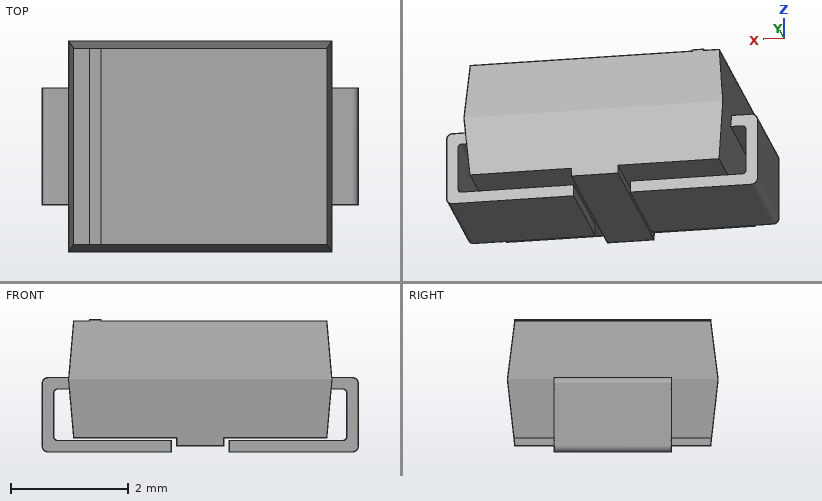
import cadquery as cq

body_length = 4.5
body_width = 3.6
face_length = 4.325
top_width = 3.35
body_bottom = 0.245
half_height = 1.0
parting_z = body_bottom + half_height
body_top = parting_z + half_height

pad_length = 0.81
pad_bottom = 0.11
pad_bottom_width = 3.35

lower_taper = (body_width - pad_bottom_width) / (parting_z - pad_bottom)
bottom_width = body_width - lower_taper * half_height

band_length = 0.2
band_center_x = -1.795
band_height = 0.02

overall_length = 5.4
lead_width = 2.0
lead_thickness = 0.2
lead_top = 1.275
foot_length = 2.21
outer_bend_radius = 0.1
inner_bend_radius = 0.065
lead_embedment = 0.27


def body_half(direction, face_width):
    """Frustum from the parting plane to a flat face; direction is +1 up or -1 down."""
    return (
        cq.Workplane("XY")
        .workplane(offset=parting_z)
        .rect(body_length, body_width)
        .workplane(offset=direction * half_height)
        .rect(face_length, face_width)
        .loft(ruled=True)
    )


def standoff_pad():
    """Pad below the body whose ends continue the taper of the body sides."""
    return (
        cq.Workplane("XY")
        .workplane(offset=pad_bottom)
        .rect(pad_length, pad_bottom_width)
        .workplane(offset=body_bottom - pad_bottom)
        .rect(pad_length, bottom_width)
        .loft(ruled=True)
    )


def polarity_band():
    """Thin strip across the full width of the top face."""
    return (
        cq.Workplane("XY")
        .workplane(offset=body_top)
        .center(band_center_x, 0)
        .rect(band_length, top_width)
        .extrude(band_height)
    )


def bends_at(x):
    """Selector for the bend edges of a lead at one X position."""
    margin = lead_thickness / 4
    return cq.selectors.BoxSelector(
        (x - margin, -lead_width, -margin),
        (x + margin, lead_width, lead_top + margin),
    )


def left_lead():
    """C-shaped lead on the -X end, standing on Z = 0."""
    outer_x = -overall_length / 2
    inner_x = outer_x + lead_thickness
    foot_end_x = outer_x + foot_length
    arm_end_x = -body_length / 2 + lead_embedment
    arm_bottom = lead_top - lead_thickness

    lead = (
        cq.Workplane("XZ")
        .moveTo(arm_end_x, lead_top)
        .lineTo(outer_x, lead_top)
        .lineTo(outer_x, 0)
        .lineTo(foot_end_x, 0)
        .lineTo(foot_end_x, lead_thickness)
        .lineTo(inner_x, lead_thickness)
        .lineTo(inner_x, arm_bottom)
        .lineTo(arm_end_x, arm_bottom)
        .close()
        .extrude(lead_width / 2, both=True)
    )
    lead = lead.edges("|Y").edges(bends_at(outer_x)).fillet(outer_bend_radius)
    return lead.edges("|Y").edges(bends_at(inner_x)).fillet(inner_bend_radius)


body = body_half(1, top_width).union(body_half(-1, bottom_width))
lead = left_lead()

result = (
    body.union(standoff_pad())
    .union(polarity_band())
    .union(lead)
    .union(lead.mirror("YZ"))
    .clean()
)